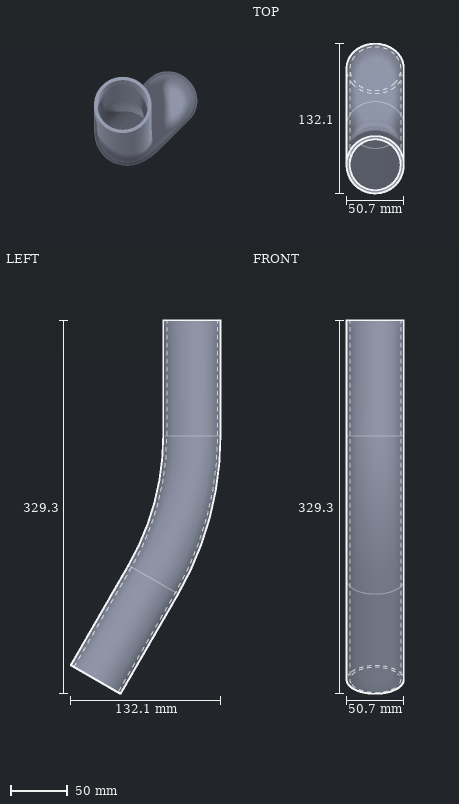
import cadquery as cq
import math

outer_diameter = 50.7
inner_diameter = 44.8
overall_height = 329.3
straight_length = 101.8
bend_angle = math.radians(30)

sin_bend = math.sin(bend_angle)
cos_bend = math.cos(bend_angle)

legs_height = straight_length * (1 + cos_bend)
tilted_end_drop = outer_diameter / 2 * sin_bend
bend_radius = (overall_height - legs_height - tilted_end_drop) / sin_bend


def bend_point(angle):
    """Centreline point (Y, Z) at an angle into the bend, which starts at the origin."""
    return (bend_radius * (1 - math.cos(angle)), -bend_radius * math.sin(angle))


bend_end_y, bend_end_z = bend_point(bend_angle)
lower_end = (
    bend_end_y + straight_length * sin_bend,
    bend_end_z - straight_length * cos_bend,
)
centreline = (
    cq.Workplane("YZ")
    .moveTo(0, straight_length)
    .lineTo(0, 0)
    .threePointArc(bend_point(bend_angle / 2), (bend_end_y, bend_end_z))
    .lineTo(*lower_end)
)

result = (
    cq.Workplane("XY", origin=(0, 0, straight_length))
    .circle(outer_diameter / 2)
    .circle(inner_diameter / 2)
    .sweep(centreline)
)